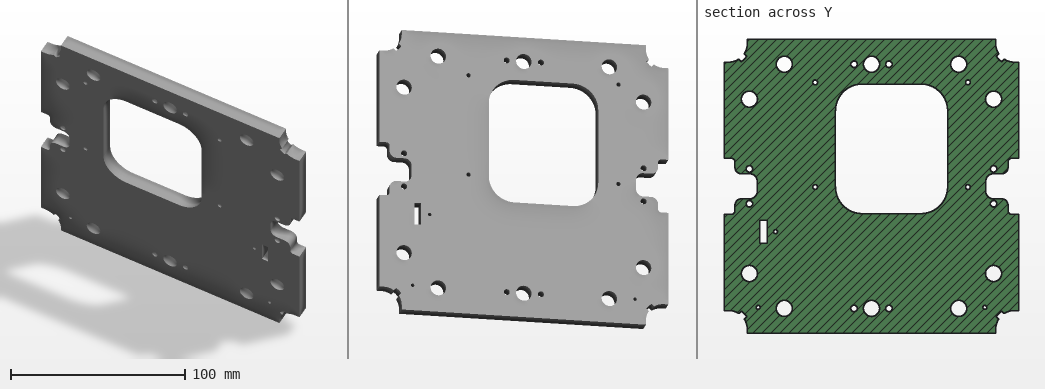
import cadquery as cq

plate_side = 168.9
plate_thickness = 8.0
half_side = plate_side / 2

corner_inset = 13.1
corner_radius = 10.5
keyway_width = 4.2
keyway_depth = 2.0
keyway_angle = 45.0

notch_outer_half_height = 16.0
notch_outer_depth = 6.0
notch_inner_half_height = 7.0
notch_inner_depth = 18.8
notch_outer_radius = 2.0
notch_floor_radius = 4.0
notch_step_radius = 4.0

window_width = 64.0
window_height = 74.0
window_radius = 15.0
window_x = -11.5
window_z = 21.5

mount_diameter = 9.0
mount_near = 50.0
mount_far = 70.0

pair_diameter = 3.5
pair_offset = 10.0

window_hole_diameter = 2.5
window_hole_spacing_x = 87.6
window_hole_spacing_z = 60.0
window_hole_z = 29.6

pin_diameter = 2.0
pin_x = 65.0
pin_z = -69.4
slot_pin_x = 55.0

slot_width = 4.0
slot_height = 13.0
slot_x = 62.0
slot_z = -26.0


def rear_plane():
    """Workplane on the rear face of the plate: local x is X, local y is Z, normal is -Y."""
    return cq.Workplane("XZ", origin=(0, plate_thickness / 2, 0))


def through(sketch):
    """Extrude a closed sketch through the full plate thickness."""
    return sketch.extrude(plate_thickness)


def corner_cutter():
    """Cutter for the corner at +X, +Z."""
    bite_side = 2 * corner_inset
    bite = through(rear_plane().center(half_side, half_side).rect(bite_side, bite_side))
    bite = bite.edges("|Y").fillet(corner_radius)

    arc_centre = half_side - corner_inset + corner_radius
    keyway_reach = corner_radius + keyway_depth
    reach_disc = through(rear_plane().center(arc_centre, arc_centre).circle(keyway_reach))
    keyway_strip = through(
        rear_plane()
        .center(arc_centre, arc_centre)
        .transformed(rotate=(0, 0, keyway_angle))
        .center(-keyway_reach / 2, 0)
        .rect(keyway_reach, keyway_width)
    )
    return bite.union(keyway_strip.intersect(reach_disc))


def edge_notch_cutter():
    """Cutter for the stepped notch in the +X edge."""
    outer = notch_outer_half_height
    inner = notch_inner_half_height
    step_x = half_side - notch_outer_depth
    floor_x = half_side - notch_inner_depth
    mouth_radius = notch_outer_radius
    step_radius = notch_step_radius
    floor_radius = notch_floor_radius
    upper_half = (
        rear_plane()
        .moveTo(half_side, 0)
        .lineTo(half_side, outer)
        .lineTo(step_x + mouth_radius, outer)
        .radiusArc((step_x, outer - mouth_radius), -mouth_radius)
        .lineTo(step_x, inner + step_radius)
        .radiusArc((step_x - step_radius, inner), step_radius)
        .lineTo(floor_x + floor_radius, inner)
        .radiusArc((floor_x, inner - floor_radius), -floor_radius)
        .lineTo(floor_x, 0)
        .close()
    )
    upper = through(upper_half)
    return upper.union(upper.mirror("XY"))


def window_cutter():
    window = through(rear_plane().center(window_x, window_z).rect(window_width, window_height))
    return window.edges("|Y").fillet(window_radius)


def slot_cutter():
    return through(rear_plane().center(slot_x, slot_z).rect(slot_width, slot_height))


def holes(points, diameter):
    return through(rear_plane().pushPoints(points).circle(diameter / 2))


signs = (-1, 1)
mount_points = [(0, side * mount_far) for side in signs]
pair_points = []
window_hole_points = []
for sx in signs:
    for sz in signs:
        mount_points.append((sx * mount_near, sz * mount_far))
        mount_points.append((sx * mount_far, sz * mount_near))
        pair_points.append((sx * pair_offset, sz * mount_far))
        pair_points.append((sx * mount_far, sz * pair_offset))
        window_hole_points.append(
            (window_x + sx * window_hole_spacing_x / 2, window_hole_z + sz * window_hole_spacing_z / 2)
        )
pin_points = [(-pin_x, pin_z), (pin_x, pin_z), (slot_pin_x, slot_z)]

plate = through(rear_plane().rect(plate_side, plate_side))

corner = corner_cutter()
for corner_cut in (corner, corner.mirror("YZ")):
    plate = plate.cut(corner_cut).cut(corner_cut.mirror("XY"))

notch = edge_notch_cutter()
plate = plate.cut(notch).cut(notch.mirror("YZ"))

plate = plate.cut(window_cutter()).cut(slot_cutter())
plate = plate.cut(holes(mount_points, mount_diameter))
plate = plate.cut(holes(pair_points, pair_diameter))
plate = plate.cut(holes(window_hole_points, window_hole_diameter))
plate = plate.cut(holes(pin_points, pin_diameter))

result = plate